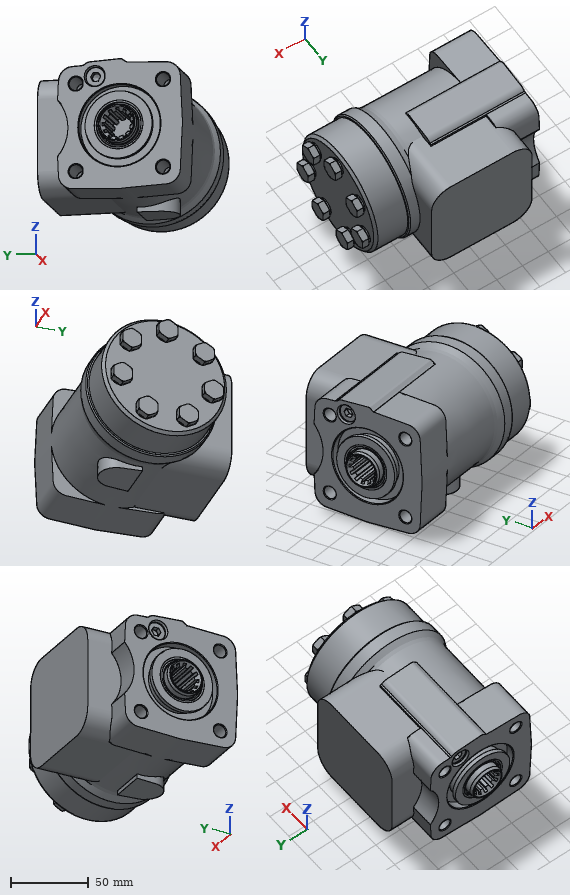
import cadquery as cq
import math


body_radius_front = 41.8
body_radius_rear = 42.0
body_end_x = 86.7
collar_radius = 45.0
collar_flare_radius = 42.5
collar_flare_x = 89.4
collar_start_x = 93.1
collar_end_x = 104.0
collar_chamfer = 0.9
cap_radius = 43.0
cap_end_x = 129.2
cap_chamfer = 2.0

flange_length = 30.7
flange_mid_half = 4.3
flange_mid = math.sqrt(body_radius_front**2 - flange_mid_half**2)
flange_edge = 40.4
flange_corner_center = 30.8
flange_corner_radius = flange_edge - flange_corner_center
notch_radius = 28.7
notch_bottom_y = 34.1

block_side = 78.1
block_corner_radius = 15.0
block_start_x = 17.8
block_top_y = 58.5

rail_length = 73.6
rail_base_z = 31.5
rail_left_foot = (24.8, 40.7)
rail_left_shoulder_start = (23.5, 41.0)
rail_left_shoulder_middle = (21.5, 42.4)
rail_left_shoulder_end = (18.5, 43.0)
rail_right_shoulder_start = (0.3, 44.0)
rail_right_shoulder_middle = (-0.9, 44.0)
rail_right_shoulder_end = (-1.9, 43.7)
rail_right_slope_end = (-3.7, 42.3)
rail_right_foot = (-4.7, 41.7)

boss_x = 70.0
boss_nose_radius = 12.2
boss_nose_y = -11.5
boss_back_y = 1.5
boss_taper = math.radians(5.4)
boss_bottom_z = -collar_radius
boss_height = 21.5

mount_offset = 29.0
mount_diameter = 8.9
mount_chamfer = 0.6
mount_depth = 21.5

spigot_diameter = 44.4
spigot_neck_diameter = 40.0
spigot_face_x = -2.3
spigot_length = 2.9
groove_diameter = 54.0
groove_depth = 6.6
groove_chamfer = 0.6

shaft_diameter = 25.4
shaft_face_x = -7.5
shaft_end_x = 57.3
shaft_chamfer_length = 2.1
shaft_chamfer_height = 0.7
seal_step_diameter = 32.2
seal_step_depth = 0.1
seal_mouth_diameter = 29.7
seal_mouth_depth = 1.7
seal_lip_diameter = 27.2
seal_lip_depth = 0.5
seal_lip_inner_depth = 1.5
spline_teeth = 12
spline_root_radius = 10.2
spline_tip_radius = 8.3
spline_root_width = 3.3
spline_tip_width = 2.3
spline_mouth_radius = 11.2
spline_lead_in = 3.5
spline_depth = 28.7

plug_y = 16.3
plug_z = 33.2
plug_diameter = 12.5
plug_face_x = 2.6
plug_length = 14.3
plug_mouth_flare = 0.7
plug_mouth_depth = 1.7
socket_flats = 5.7
socket_depth = 3.6
socket_drill_diameter = 5.6

bolt_count = 7
bolt_circle_radius = 32.1
bolt_neck_diameter = 12.0
bolt_head_flats = 13.0
bolt_head_x = 130.5
bolt_end_x = 135.8
bolt_chamfer = 0.6

drill_half_angle = math.radians(59)
hex_corner_ratio = 1 / math.cos(math.pi / 6)


def section(x):
    """Workplane across the shaft at position x, drawn in (Y, Z)."""
    return cq.Workplane("YZ").workplane(offset=x)


def rod(diameter, start_x, end_x, y=0, z=0):
    """Cylinder along X."""
    return section(start_x).center(y, z).circle(diameter / 2).extrude(end_x - start_x)


def turned(profile, y=0, z=0):
    """Solid of revolution about a line parallel to X; profile holds (x, radius) points."""
    solid = cq.Workplane("XY").polyline(profile).close().revolve(360, (0, 0, 0), (1, 0, 0))
    return solid.translate((0, y, z))


def drilled_hole(diameter, start_x, end_x, mouth_chamfer, y, z):
    """Blind hole along +X with a chamfered mouth and a conical bottom."""
    radius = diameter / 2
    return turned(
        [
            (start_x, 0),
            (start_x, radius + mouth_chamfer),
            (start_x + mouth_chamfer, radius),
            (end_x, radius),
            (end_x + radius / math.tan(drill_half_angle), 0),
        ],
        y,
        z,
    )


def make_barrel():
    """Turned barrel with its collar and end cap."""
    return turned(
        [
            (0, 0),
            (0, body_radius_front),
            (body_end_x, body_radius_rear),
            (collar_flare_x, collar_flare_radius),
            (collar_start_x, collar_radius - collar_chamfer / 2),
            (collar_start_x + collar_chamfer, collar_radius),
            (collar_end_x - collar_chamfer, collar_radius),
            (collar_end_x, collar_radius - collar_chamfer),
            (collar_end_x, cap_radius),
            (cap_end_x - cap_chamfer, cap_radius),
            (cap_end_x, cap_radius - cap_chamfer),
            (cap_end_x, 0),
        ]
    )


def quarter_turned(point, quarter):
    """The (Y, Z) point turned about the shaft axis by a number of right angles."""
    y, z = point
    for _ in range(quarter):
        y, z = -z, y
    return (y, z)


def make_flange():
    """Square flange with slightly bowed sides and round corners."""
    arc_middle = flange_corner_center + flange_corner_radius * math.sqrt(0.5)
    outline = section(0).moveTo(flange_mid, -flange_mid_half)
    for quarter in range(4):
        strip_end = quarter_turned((flange_mid, flange_mid_half), quarter)
        corner_start = quarter_turned((flange_edge, flange_corner_center), quarter)
        corner_middle = quarter_turned((arc_middle, arc_middle), quarter)
        corner_end = quarter_turned((flange_corner_center, flange_edge), quarter)
        next_strip_start = quarter_turned((flange_mid_half, flange_mid), quarter)
        outline = outline.lineTo(*strip_end).lineTo(*corner_start)
        outline = outline.threePointArc(corner_middle, corner_end)
        if quarter < 3:
            outline = outline.lineTo(*next_strip_start)
    return outline.close().extrude(flange_length)


def make_port_block():
    """Rounded square block reaching from the shaft axis out to +Y."""
    block = cq.Workplane("XY").box(block_side, block_top_y, block_side, centered=(False, False, True))
    return block.edges("|Y").fillet(block_corner_radius).translate((block_start_x, 0, 0))


def make_rail():
    """Raised strip with a gently sloped top and rounded shoulders."""
    return (
        section(0)
        .moveTo(rail_left_foot[0], rail_base_z)
        .lineTo(*rail_left_foot)
        .lineTo(*rail_left_shoulder_start)
        .threePointArc(rail_left_shoulder_middle, rail_left_shoulder_end)
        .lineTo(*rail_right_shoulder_start)
        .threePointArc(rail_right_shoulder_middle, rail_right_shoulder_end)
        .lineTo(*rail_right_slope_end)
        .lineTo(*rail_right_foot)
        .lineTo(rail_right_foot[0], rail_base_z)
        .close()
        .extrude(rail_length)
    )


def make_bottom_boss():
    """Boss with a round nose towards -Y and sides that spread towards +Y."""
    tangent_half = boss_nose_radius * math.cos(boss_taper)
    tangent_y = boss_nose_y - boss_nose_radius * math.sin(boss_taper)
    back_half = tangent_half + (boss_back_y - tangent_y) * math.tan(boss_taper)
    return (
        cq.Workplane("XY")
        .workplane(offset=boss_bottom_z)
        .moveTo(boss_x - back_half, boss_back_y)
        .lineTo(boss_x - tangent_half, tangent_y)
        .threePointArc(
            (boss_x, boss_nose_y - boss_nose_radius),
            (boss_x + tangent_half, tangent_y),
        )
        .lineTo(boss_x + back_half, boss_back_y)
        .close()
        .extrude(boss_height)
    )


def make_bolt(y, z):
    """Hexagon head on a round neck, one corner pointing up."""
    corner_diameter = bolt_head_flats * hex_corner_ratio
    head_length = bolt_end_x - bolt_head_x
    head = (
        section(bolt_head_x)
        .polygon(6, corner_diameter)
        .extrude(head_length)
        .rotate((0, 0, 0), (1, 0, 0), 90)
    )
    rounding = rod(corner_diameter, bolt_head_x, bolt_end_x).edges().chamfer(bolt_chamfer)
    neck = rod(bolt_neck_diameter, cap_end_x, bolt_head_x)
    return head.intersect(rounding).union(neck).translate((0, y, z))


def make_housing():
    """Barrel, flange, port block and all fixed details, with the shaft and plug holes."""
    housing = make_barrel().union(make_flange()).union(make_port_block())
    housing = housing.union(make_rail()).union(make_bottom_boss())

    housing = housing.cut(rod(2 * notch_radius, 0, block_start_x, notch_bottom_y + notch_radius))

    groove = rod(groove_diameter, 0, groove_depth).union(
        turned(
            [
                (0, 0),
                (0, groove_diameter / 2 + groove_chamfer),
                (groove_chamfer, groove_diameter / 2),
                (groove_chamfer, 0),
            ]
        )
    )
    spigot = rod(spigot_diameter, spigot_face_x, spigot_face_x + spigot_length)
    spigot_neck = rod(spigot_neck_diameter, spigot_face_x, groove_depth)
    housing = housing.cut(groove).union(spigot.union(spigot_neck))

    mouth_x = spigot_face_x + seal_step_depth
    housing = housing.cut(
        turned(
            [
                (spigot_face_x, 0),
                (spigot_face_x, seal_step_diameter / 2),
                (mouth_x, seal_step_diameter / 2),
                (mouth_x, seal_mouth_diameter / 2),
                (mouth_x + seal_mouth_depth, seal_mouth_diameter / 2),
                (mouth_x + seal_lip_depth, seal_lip_diameter / 2),
                (mouth_x + seal_lip_inner_depth, shaft_diameter / 2),
                (shaft_end_x, shaft_diameter / 2),
                (shaft_end_x, 0),
            ]
        )
    )

    for y in (-mount_offset, mount_offset):
        for z in (-mount_offset, mount_offset):
            housing = housing.cut(drilled_hole(mount_diameter, 0, mount_depth, mount_chamfer, y, z))

    plug_hole = rod(plug_diameter, 0, plug_face_x + plug_length, plug_y, plug_z)
    plug_radius = plug_diameter / 2
    plug_mouth = turned(
        [
            (0, 0),
            (0, plug_radius + plug_mouth_flare),
            (plug_mouth_depth, plug_radius),
            (plug_mouth_depth, 0),
        ],
        plug_y,
        plug_z,
    )
    housing = housing.cut(plug_hole).cut(plug_mouth)

    for index in range(bolt_count):
        angle = 2 * math.pi * index / bolt_count
        bolt_y = bolt_circle_radius * math.sin(angle)
        bolt_z = bolt_circle_radius * math.cos(angle)
        housing = housing.union(make_bolt(bolt_y, bolt_z))
    return housing


def make_shaft():
    """Hollow shaft end with internal spline teeth behind a conical lead-in."""
    radius = shaft_diameter / 2
    shaft = turned(
        [
            (shaft_face_x, 0),
            (shaft_face_x, radius - shaft_chamfer_height),
            (shaft_face_x + shaft_chamfer_length, radius),
            (shaft_end_x, radius),
            (shaft_end_x, 0),
        ]
    )
    spline_end_x = shaft_face_x + spline_depth
    bore = rod(2 * spline_root_radius, shaft_face_x, spline_end_x)
    tooth_foot = spline_root_radius + spline_root_width / 2
    tooth_profile = [
        (spline_tip_radius, -spline_tip_width / 2),
        (spline_tip_radius, spline_tip_width / 2),
        (spline_root_radius, spline_root_width / 2),
        (tooth_foot, spline_root_width / 2),
        (tooth_foot, -spline_root_width / 2),
        (spline_root_radius, -spline_root_width / 2),
    ]
    tooth = section(shaft_face_x).polyline(tooth_profile).close().extrude(spline_depth)
    pitch = 360 / spline_teeth
    for index in range(spline_teeth):
        bore = bore.cut(tooth.rotate((0, 0, 0), (1, 0, 0), (index + 0.5) * pitch))
    lead_in = turned(
        [
            (shaft_face_x, 0),
            (shaft_face_x, spline_mouth_radius),
            (shaft_face_x + spline_lead_in, spline_tip_radius),
            (shaft_face_x + spline_lead_in, 0),
        ]
    )
    return shaft.cut(bore).cut(lead_in)


def make_plug():
    """Screw plug sunk in the flange, with a hexagon socket."""
    plug = rod(plug_diameter, plug_face_x, plug_face_x + plug_length, plug_y, plug_z)
    socket = (
        section(plug_face_x)
        .center(plug_y, plug_z)
        .polygon(6, socket_flats * hex_corner_ratio)
        .extrude(socket_depth)
    )
    socket_end_x = plug_face_x + socket_depth
    drill_radius = socket_drill_diameter / 2
    drill_point = turned(
        [
            (socket_end_x, 0),
            (socket_end_x, drill_radius),
            (socket_end_x + drill_radius / math.tan(drill_half_angle), 0),
        ],
        plug_y,
        plug_z,
    )
    return plug.cut(socket).cut(drill_point)


housing = make_housing()
shaft = make_shaft()
plug = make_plug()

result = cq.Compound.makeCompound([housing.val(), shaft.val(), plug.val()])